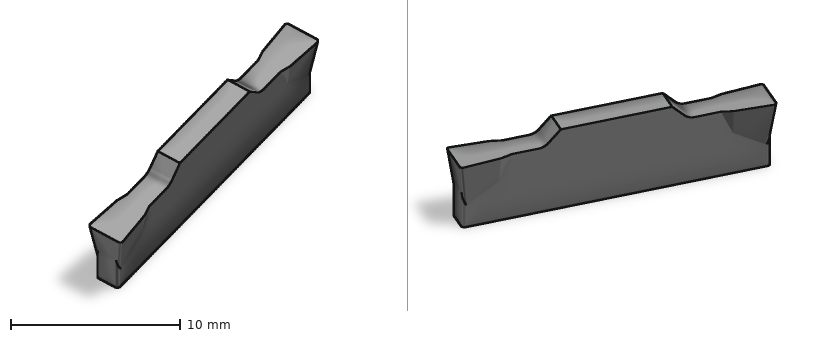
import cadquery as cq
import math

body_width = 1.62
body_length = 19.48
body_corner_radius = 0.22
land_height = 4.48
total_height = 5.51

crown_half_length = 3.52
ramp_angle = math.radians(45)
ramp_root_radius = 0.92

head_half_length = 9.99
head_width = 2.4
corner_overhang = 0.014
head_half_width = head_width / 2 + corner_overhang
flank_inset = 0.2
neck_half_width = head_half_width - flank_inset
neck_y = 7.33
neck_end_y = 6.6
relief_angle = 7.0
head_depth = 3.6
head_corner_radius = 0.18
neck_blend_radius = 0.3
bend_search_range = 0.2


def make_body():
    """Full-height block with rounded vertical corners, trimmed to the side outline."""
    arc_rise = ramp_root_radius * (1 - math.cos(ramp_angle))
    arc_run = ramp_root_radius * math.sin(ramp_angle)
    arc_top_z = land_height + arc_rise
    arc_top_y = crown_half_length + (total_height - arc_top_z) / math.tan(ramp_angle)
    arc_root_y = arc_top_y + arc_run
    arc_mid_y = arc_root_y - ramp_root_radius * math.sin(ramp_angle / 2)
    arc_mid_z = land_height + ramp_root_radius * (1 - math.cos(ramp_angle / 2))
    half_length = body_length / 2

    side_outline = (
        cq.Workplane("YZ")
        .moveTo(-half_length, 0)
        .lineTo(half_length, 0)
        .lineTo(half_length, land_height)
        .lineTo(arc_root_y, land_height)
        .threePointArc((arc_mid_y, arc_mid_z), (arc_top_y, arc_top_z))
        .lineTo(crown_half_length, total_height)
        .lineTo(-crown_half_length, total_height)
        .lineTo(-arc_top_y, arc_top_z)
        .threePointArc((-arc_mid_y, arc_mid_z), (-arc_root_y, land_height))
        .lineTo(-half_length, land_height)
        .close()
        .extrude(body_width / 2, both=True)
    )
    rounded_block = (
        cq.Workplane("XY")
        .rect(body_width, body_length)
        .extrude(total_height)
        .edges("|Z")
        .fillet(body_corner_radius)
    )
    return side_outline.intersect(rounded_block)


def make_head():
    """Head at the -Y end; its narrow inner end is buried in the body."""
    root_half_width = body_width / 4
    neck_slope = (neck_y - neck_end_y) / (neck_half_width - body_width / 2)
    root_y = neck_y - neck_slope * (neck_half_width - root_half_width)
    right_side = [
        (head_half_width, -head_half_length),
        (neck_half_width, -neck_y),
        (root_half_width, -root_y),
    ]
    left_side = [(-x, y) for x, y in reversed(right_side)]
    head = (
        cq.Workplane("XY", origin=(0, 0, land_height))
        .polyline(right_side + left_side)
        .close()
        .extrude(-head_depth, taper=relief_angle)
    )
    head = head.faces("<Y").edges("not #Z").fillet(head_corner_radius)

    bend_zone = cq.selectors.BoxSelector(
        (-head_half_width, -neck_y - bend_search_range, 0),
        (head_half_width, -neck_y + bend_search_range, land_height),
    )
    bend_edges = head.edges(bend_zone).edges("not #Z")
    return bend_edges.fillet(neck_blend_radius)


head = make_head()
result = make_body().union(head).union(head.mirror("XZ"))